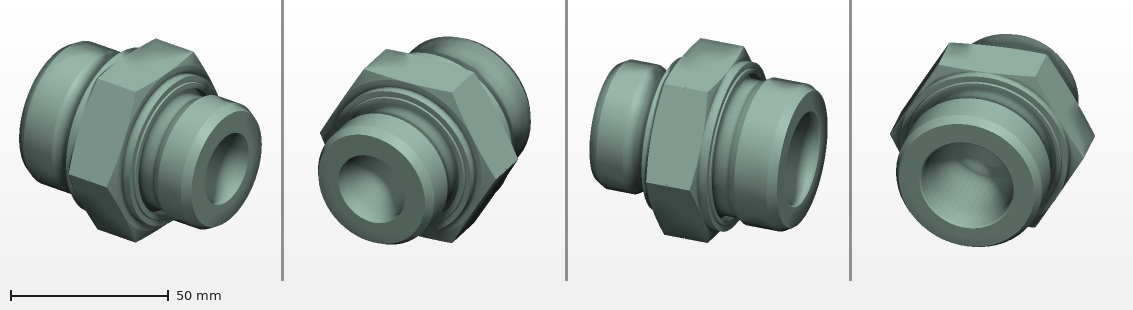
import cadquery as cq
import math

TOTAL_LENGTH = 65.0
LARGE_FLANGE_X = 22.0
HEX_START_X = 24.9
HEX_END_X = 42.0
SMALL_FLANGE_X = 45.05

HEX_ACROSS_FLATS = 55.0
HEX_CORNER_DIAMETER = HEX_ACROSS_FLATS / math.cos(math.radians(30))
HEX_FACE_DIAMETER = 54.8
HEX_CHAMFER_ANGLE = 15.0
MARK_X = 33.9
MARK_DEPTH = 0.5
MARK_HALF_WIDTH = 0.25

LARGE_THREAD_DIAMETER = 47.8
LARGE_NECK_DIAMETER = 44.4
LARGE_FLANGE_DIAMETER = 54.8
LARGE_THREAD_END = 14.0
LARGE_SEAL_DIAMETER = 50.7
LARGE_SEAL_INNER_DIAMETER = LARGE_THREAD_DIAMETER
LARGE_RECESS_DIAMETER = 51.0

SMALL_THREAD_DIAMETER = 41.9
SMALL_NECK_DIAMETER = 38.5
SMALL_FLANGE_DIAMETER = 49.8
SMALL_THREAD_END = 11.9
SMALL_SEAL_DIAMETER = 45.8
SMALL_SEAL_INNER_DIAMETER = SMALL_THREAD_DIAMETER
SMALL_RECESS_DIAMETER = 46.0

THREAD_CHAMFER_ANGLE = 30.0
RELIEF_RADIUS = 1.25

RECESS_DEPTH = 2.7
RECESS_CONE_ANGLE = 45.0
SEAL_PROTRUSION = 0.5
SEAL_CHAMFER = 0.2

LARGE_BORE_DIAMETER = 30.0
SMALL_BORE_DIAMETER = 24.0
BORE_EDGE_CHAMFER = 0.5
BORE_CONE_X = 32.5
BORE_CONE_ANGLE = 60.0


def cylinder(diameter, start_x, end_x):
    return cq.Workplane("YZ", origin=(start_x, 0, 0)).circle(diameter / 2).extrude(end_x - start_x)


def revolve_about_x(profile):
    return profile.close().revolve(360, (0, 0, 0), (1, 0, 0))


def mirror_to_small_end(body):
    """Turn a body built from X = 0 inward so that it starts at the +X end face."""
    return body.mirror("YZ").translate((TOTAL_LENGTH, 0, 0))


def threaded_end(thread_diameter, neck_diameter, thread_end, length):
    """Chamfered thread cylinder with a conical, filleted run-out to its neck, from X = 0 inward."""
    thread_radius = thread_diameter / 2
    neck_radius = neck_diameter / 2
    angle = math.radians(THREAD_CHAMFER_ANGLE)
    chamfer_length = (thread_radius - neck_radius) / math.tan(angle)

    tangent_length = RELIEF_RADIUS * math.tan(angle / 2)
    fillet_end = thread_end + chamfer_length + tangent_length
    fillet_start = fillet_end - RELIEF_RADIUS * math.sin(angle)
    fillet_start_radius = neck_radius + RELIEF_RADIUS * (1 - math.cos(angle))
    fillet_middle = fillet_end - RELIEF_RADIUS * math.sin(angle / 2)
    fillet_middle_radius = neck_radius + RELIEF_RADIUS * (1 - math.cos(angle / 2))

    profile = (
        cq.Workplane("XY")
        .moveTo(0, 0)
        .lineTo(0, neck_radius)
        .lineTo(chamfer_length, thread_radius)
        .lineTo(thread_end, thread_radius)
        .lineTo(fillet_start, fillet_start_radius)
        .threePointArc((fillet_middle, fillet_middle_radius), (fillet_end, neck_radius))
        .lineTo(length, neck_radius)
        .lineTo(length, 0)
    )
    return revolve_about_x(profile)


def hexagon():
    prism = (
        cq.Workplane("YZ", origin=(HEX_START_X, 0, 0))
        .polygon(6, HEX_CORNER_DIAMETER)
        .extrude(HEX_END_X - HEX_START_X)
    )
    face_radius = HEX_FACE_DIAMETER / 2
    outer_radius = HEX_CORNER_DIAMETER / 2 + 0.65
    chamfer_length = (outer_radius - face_radius) * math.tan(math.radians(HEX_CHAMFER_ANGLE))
    envelope = revolve_about_x(
        cq.Workplane("XY")
        .moveTo(HEX_START_X, 0)
        .lineTo(HEX_START_X, face_radius)
        .lineTo(HEX_START_X + chamfer_length, outer_radius)
        .lineTo(HEX_END_X - chamfer_length, outer_radius)
        .lineTo(HEX_END_X, face_radius)
        .lineTo(HEX_END_X, 0)
    )
    return prism.intersect(envelope).cut(marking_groove())


def marking_groove():
    """V-shaped ring that nicks only the corners of the hexagon."""
    corner_radius = HEX_CORNER_DIAMETER / 2
    return revolve_about_x(
        cq.Workplane("XY")
        .moveTo(MARK_X - MARK_HALF_WIDTH, corner_radius)
        .lineTo(MARK_X, corner_radius - MARK_DEPTH)
        .lineTo(MARK_X + MARK_HALF_WIDTH, corner_radius)
    )


def bore():
    large_radius = LARGE_BORE_DIAMETER / 2
    small_radius = SMALL_BORE_DIAMETER / 2
    cone_length = (large_radius - small_radius) / math.tan(math.radians(BORE_CONE_ANGLE))
    return revolve_about_x(
        cq.Workplane("XY")
        .moveTo(0, 0)
        .lineTo(0, large_radius + BORE_EDGE_CHAMFER)
        .lineTo(BORE_EDGE_CHAMFER, large_radius)
        .lineTo(BORE_CONE_X, large_radius)
        .lineTo(BORE_CONE_X + cone_length, small_radius)
        .lineTo(TOTAL_LENGTH, small_radius)
        .lineTo(TOTAL_LENGTH, 0)
    )


def recess(flange_x, recess_diameter, inner_diameter, neck_diameter):
    """Ring-shaped pocket for a seal, from the flange face inward along +X.

    The flat floor ends at the inner diameter of the seal, where a cone leads out to the neck.
    """
    floor_x = flange_x + RECESS_DEPTH
    inner_radius = inner_diameter / 2
    neck_radius = neck_diameter / 2
    cone_length = (inner_radius - neck_radius) / math.tan(math.radians(RECESS_CONE_ANGLE))
    return revolve_about_x(
        cq.Workplane("XY")
        .moveTo(flange_x, neck_radius)
        .lineTo(floor_x - cone_length, neck_radius)
        .lineTo(floor_x, inner_radius)
        .lineTo(floor_x, recess_diameter / 2)
        .lineTo(flange_x, recess_diameter / 2)
    )


def seal_ring(flange_x, seal_diameter, inner_diameter):
    """Seal seated on the recess floor, wide enough to pass the thread, proud of the flange face."""
    front_x = flange_x - SEAL_PROTRUSION
    back_x = flange_x + RECESS_DEPTH
    ring = cylinder(seal_diameter, front_x, back_x).faces("<X").edges().chamfer(SEAL_CHAMFER)
    return ring.cut(cylinder(inner_diameter, front_x, back_x))


def fitting_body():
    small_flange_depth = TOTAL_LENGTH - SMALL_FLANGE_X
    large_end = threaded_end(
        LARGE_THREAD_DIAMETER, LARGE_NECK_DIAMETER, LARGE_THREAD_END, HEX_START_X
    )
    small_end = threaded_end(
        SMALL_THREAD_DIAMETER, SMALL_NECK_DIAMETER, SMALL_THREAD_END, TOTAL_LENGTH - HEX_END_X
    )
    large_recess = recess(
        LARGE_FLANGE_X, LARGE_RECESS_DIAMETER, LARGE_SEAL_INNER_DIAMETER, LARGE_NECK_DIAMETER
    )
    small_recess = recess(
        small_flange_depth, SMALL_RECESS_DIAMETER, SMALL_SEAL_INNER_DIAMETER, SMALL_NECK_DIAMETER
    )
    return (
        hexagon()
        .union(cylinder(LARGE_FLANGE_DIAMETER, LARGE_FLANGE_X, HEX_START_X))
        .union(cylinder(SMALL_FLANGE_DIAMETER, HEX_END_X, SMALL_FLANGE_X))
        .union(large_end)
        .union(mirror_to_small_end(small_end))
        .cut(large_recess)
        .cut(mirror_to_small_end(small_recess))
        .cut(bore())
    )


body = fitting_body()
large_seal = seal_ring(LARGE_FLANGE_X, LARGE_SEAL_DIAMETER, LARGE_SEAL_INNER_DIAMETER)
small_seal = mirror_to_small_end(
    seal_ring(TOTAL_LENGTH - SMALL_FLANGE_X, SMALL_SEAL_DIAMETER, SMALL_SEAL_INNER_DIAMETER)
)

result = cq.Compound.makeCompound([body.val(), large_seal.val(), small_seal.val()])